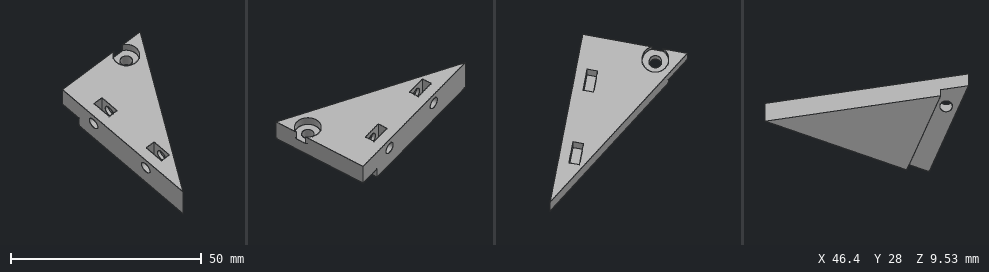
import cadquery as cq

length = 46.35
width = 28.0
plate_thickness = 9.53

rebate_width = 6.35
rebate_height = 3.175

screw_diameter = 3.25
mount_x = rebate_width / 2
mount_y = 20.0
counterbore_diameter = 7.0
counterbore_depth = 2.5

side_screw_spacing = 20.0
first_side_screw_x = 12.0
side_screw_positions = [first_side_screw_x, first_side_screw_x + side_screw_spacing]
side_screw_drop = 3.25
side_screw_depth = 6.7
nut_pocket_length = 5.8
nut_pocket_width = 2.8
nut_pocket_offset = 2.9
nut_pocket_depth = side_screw_drop + nut_pocket_length / 2


def triangular_plate():
    return (
        cq.Workplane("XY")
        .polyline([(0, 0), (length, 0), (0, width)])
        .close()
        .extrude(plate_thickness)
    )


def rebate():
    return cq.Workplane("XY").box(rebate_width, width, rebate_height, centered=False)


def mounting_hole():
    bore = cq.Workplane("XY").center(mount_x, mount_y).circle(screw_diameter / 2).extrude(plate_thickness)
    counterbore = (
        cq.Workplane("XY", origin=(mount_x, mount_y, plate_thickness))
        .circle(counterbore_diameter / 2)
        .extrude(-counterbore_depth)
    )
    return bore.union(counterbore)


def side_screw_hole(x):
    return (
        cq.Workplane("XZ", origin=(x, 0, plate_thickness - side_screw_drop))
        .circle(screw_diameter / 2)
        .extrude(-side_screw_depth)
    )


def nut_pocket(x):
    pocket_centre_y = nut_pocket_offset + nut_pocket_width / 2
    return (
        cq.Workplane("XY", origin=(x, pocket_centre_y, plate_thickness))
        .rect(nut_pocket_length, nut_pocket_width)
        .extrude(-nut_pocket_depth)
    )


result = triangular_plate().cut(rebate()).cut(mounting_hole())
for screw_x in side_screw_positions:
    result = result.cut(side_screw_hole(screw_x)).cut(nut_pocket(screw_x))